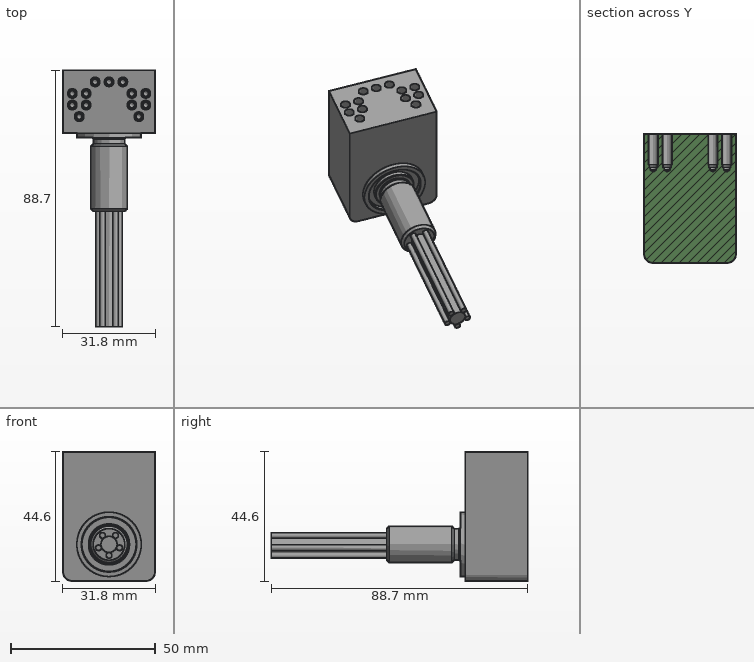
import cadquery as cq
import math

block_width = 31.8
block_height = 44.6
block_depth = 21.7
bottom_edge_radius = 3.2

axis_height = 12.7

flange_diameter = 22.3
flange_thickness = 1.6
recess_diameter = 18.7
boss_diameter = 14.2
recess_edge_chamfer = 0.22

neck_diameter = 10.9
neck_root_flare = 0.2
neck_root_end = 2.1
sleeve_diameter = 12.7
sleeve_start = 3.7
sleeve_end = 27.05
sleeve_chamfer = (sleeve_diameter - neck_diameter) / 2

overall_length = 88.7
cable_end = overall_length - block_depth
core_diameter = 5.6
wire_diameter = 1.95
wire_circle_radius = 3.8
wire_count = 5

hole_steps = [(3.2, 10.6), (2.75, 11.5), (1.95, 12.4)]
drill_tip_angle = 118.0
hole_column_pitch = 4.8
hole_row_pitch = 4.0
back_row_y = 17.65
side_group_x = 10.3


def revolve_forward(profile):
    """Turn (radius, distance in front of the block) points around the shared axis."""
    points = [(radius, -distance) for radius, distance in profile]
    turned = cq.Workplane("XY").polyline(points).close().revolve(360, (0, 0, 0), (0, 1, 0))
    return turned.translate((0, 0, axis_height))


def rod_forward(diameter, start, end, x=0.0, z=axis_height):
    """Cylinder along -Y, between two distances in front of the block."""
    return cq.Workplane("XZ", origin=(x, -start, z)).circle(diameter / 2).extrude(end - start)


def make_block():
    block = cq.Workplane("XY").box(block_width, block_depth, block_height, centered=(True, False, False))
    return block.edges("|Y and <Z").fillet(bottom_edge_radius)


def make_flange_ring():
    """Outer rim of the flange, chamfered at the mouth of the recess."""
    outer_radius = flange_diameter / 2
    inner_radius = recess_diameter / 2
    return revolve_forward([
        (inner_radius, 0),
        (outer_radius, 0),
        (outer_radius, flange_thickness),
        (inner_radius + recess_edge_chamfer, flange_thickness),
        (inner_radius, flange_thickness - recess_edge_chamfer),
    ])


def make_boss_neck_and_sleeve():
    boss_radius = boss_diameter / 2
    neck_radius = neck_diameter / 2
    sleeve_radius = sleeve_diameter / 2
    return revolve_forward([
        (0, 0),
        (boss_radius, 0),
        (boss_radius, flange_thickness - recess_edge_chamfer),
        (boss_radius - recess_edge_chamfer, flange_thickness),
        (neck_radius + neck_root_flare, flange_thickness),
        (neck_radius, neck_root_end),
        (neck_radius, sleeve_start),
        (sleeve_radius, sleeve_start + sleeve_chamfer),
        (sleeve_radius, sleeve_end - sleeve_chamfer),
        (sleeve_radius - sleeve_chamfer, sleeve_end),
        (0, sleeve_end),
    ])


def make_cable():
    cable = rod_forward(core_diameter, sleeve_end, cable_end)
    for index in range(wire_count):
        angle = math.radians(-90 + index * 360 / wire_count)
        x = wire_circle_radius * math.cos(angle)
        z = axis_height + wire_circle_radius * math.sin(angle)
        cable = cable.union(rod_forward(wire_diameter, sleeve_end, cable_end, x, z))
    return cable


def hole_positions():
    """Three holes along the back and a mirrored group of five on each side."""
    positions = [(column * hole_column_pitch, back_row_y) for column in (-1, 0, 1)]
    for side in (-1, 1):
        for row in (1, 2):
            for offset in (-hole_column_pitch / 2, hole_column_pitch / 2):
                positions.append((side * side_group_x + offset, back_row_y - row * hole_row_pitch))
        positions.append((side * side_group_x, back_row_y - 3 * hole_row_pitch))
    return positions


def make_hole_cutter():
    """Half-profile of a stepped hole with a conical tip, turned around Z; its mouth is on Z = 0."""
    profile = [(0, 0)]
    step_top = 0
    for diameter, step_bottom in hole_steps:
        profile.append((diameter / 2, -step_top))
        profile.append((diameter / 2, -step_bottom))
        step_top = step_bottom
    tip_radius = hole_steps[-1][0] / 2
    tip_length = tip_radius / math.tan(math.radians(drill_tip_angle / 2))
    profile.append((0, -step_top - tip_length))
    return cq.Workplane("XZ").polyline(profile).close().revolve(360, (0, 0, 0), (0, 1, 0))


result = make_block().union(make_flange_ring()).union(make_boss_neck_and_sleeve()).union(make_cable())
hole_cutter = make_hole_cutter()
for x, y in hole_positions():
    result = result.cut(hole_cutter.translate((x, y, block_height)))